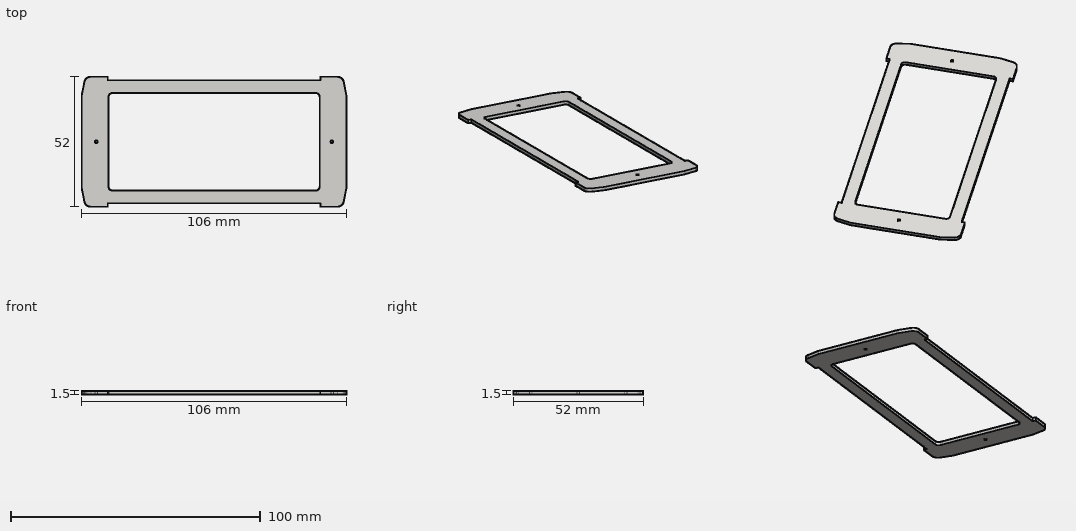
import cadquery as cq

length = 106.0
width = 52.0
thickness = 1.5

taper_length = 7.5
taper_inset = 1.5
corner_radius = 2.6

recess_length = 85.0
recess_depth = 1.4

window_length = 84.4
window_width = 38.9
window_radius = 1.5

hole_diameter = 1.0
hole_edge_distance = 5.8


def end_tapered_plate():
    """Plate whose ends narrow slightly towards rounded corners."""
    half_length = length / 2
    half_width = width / 2
    taper_x = half_length - taper_inset
    taper_y = half_width - taper_length
    outline = [
        (half_length, -taper_y),
        (half_length, taper_y),
        (taper_x, half_width),
        (-taper_x, half_width),
        (-half_length, taper_y),
        (-half_length, -taper_y),
        (-taper_x, -half_width),
        (taper_x, -half_width),
    ]
    plate = cq.Workplane("XY").polyline(outline).close().extrude(thickness)
    corners = plate.edges("|Z").edges(">Y or <Y")
    return corners.fillet(corner_radius)


def side_recesses():
    """Cutters for the recesses in both long sides."""
    recess_centers = [(0, side * (width - recess_depth) / 2) for side in (-1, 1)]
    return (
        cq.Workplane("XY")
        .pushPoints(recess_centers)
        .rect(recess_length, recess_depth)
        .extrude(thickness)
    )


def window():
    """Cutter for the round-cornered central opening."""
    opening = cq.Workplane("XY").rect(window_length, window_width).extrude(thickness)
    return opening.edges("|Z").fillet(window_radius)


def end_holes():
    """Cutters for the through hole in each end pad."""
    hole_x = length / 2 - hole_edge_distance
    return (
        cq.Workplane("XY")
        .pushPoints([(-hole_x, 0), (hole_x, 0)])
        .circle(hole_diameter / 2)
        .extrude(thickness)
    )


result = end_tapered_plate().cut(side_recesses()).cut(window()).cut(end_holes())